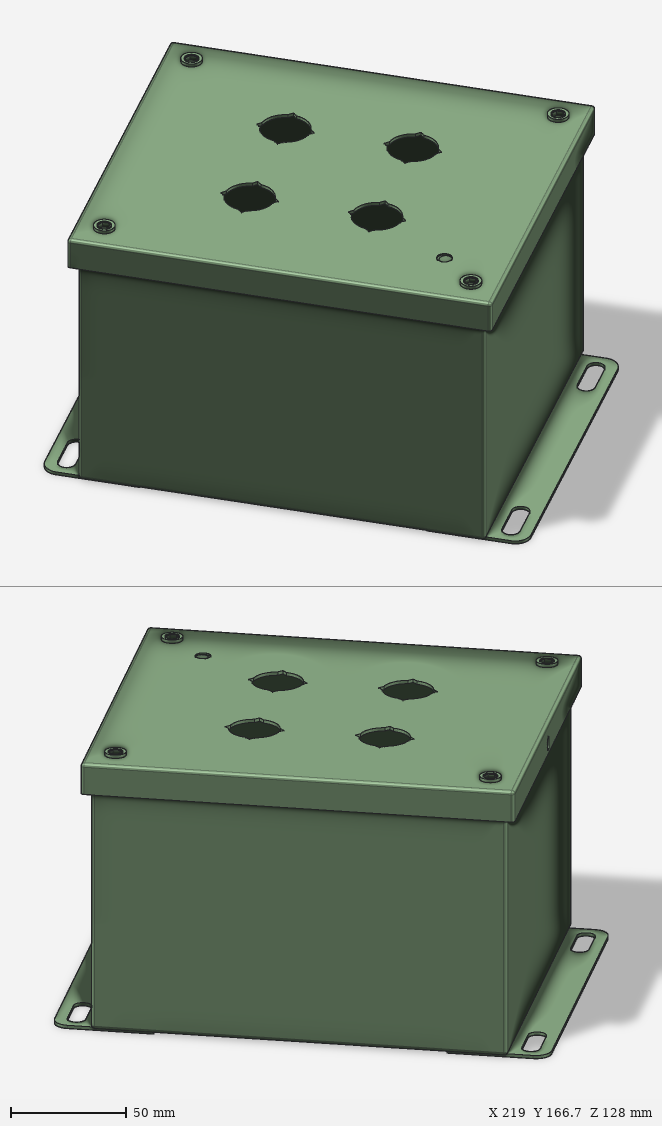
import cadquery as cq
import math

foot_span = 219.0
lid_width = 191.2
lid_depth = 166.7
lid_overhang = 4.0
sheet = 1.5
bend_radius = 1.5
overall_height = 128.0

box_width = lid_width - 2 * lid_overhang
box_depth = lid_depth - 2 * lid_overhang
foot_length = 45.0
foot_depth = 153.0
foot_corner_radius = 7.0
foot_slot_width = 8.0
foot_slot_length = 23.5
foot_slot_x = 100.1
foot_slot_y = 60.2

screw_head_height = 1.5
screw_head_diameter = 9.5
screw_recess_diameter = 6.4
screw_recess_depth = 0.5
screw_socket_across_flats = 5.0
screw_socket_depth = 2.6
screw_x = 82.5
screw_y = 69.9
lid_top = overall_height - screw_head_height
lid_underside = lid_top - sheet
skirt_height = 14.2
lid_bottom = lid_top - skirt_height

button_diameter = 22.3
button_pitch = 57.5
notch_tip_radius = 13.0

skirt_slot_width = 4.0
skirt_slot_height = 6.4
skirt_slot_above_rim = 4.8

stud_recess_diameter = 6.8
stud_recess_depth = 0.7
stud_diameter = 5.7
stud_top = lid_top - stud_recess_depth
stud_recess_x = 66.0
stud_y = -53.0
stud_x = stud_recess_x + (stud_recess_diameter - stud_diameter) / 2


def mirrored_points(x, y):
    """The four points at +-x, +-y."""
    return [(sx * x, sy * y) for sx in (-1, 1) for sy in (-1, 1)]


def block(width, depth, bottom, top):
    """A block centred on the Z axis between two heights."""
    return cq.Workplane("XY").workplane(offset=bottom).rect(width, depth).extrude(top - bottom)


def cylinders(points, diameter, bottom, top):
    """Upright cylinders at the given XY points between two heights."""
    plane = cq.Workplane("XY").workplane(offset=bottom)
    return plane.pushPoints(points).circle(diameter / 2).extrude(top - bottom)


def make_foot(side):
    """One flat mounting foot; side is -1 or +1 along X."""
    center_x = side * (foot_span - foot_length) / 2
    foot = block(foot_length, foot_depth, 0, sheet).translate((center_x, 0, 0))
    outer_end = ">X" if side > 0 else "<X"
    return foot.faces(outer_end).edges("|Z").fillet(foot_corner_radius)


def make_box():
    """Open-topped box with a foot welded under each end."""
    box = block(box_width, box_depth, sheet, lid_underside)
    box = box.edges("|Z or <Z").fillet(bend_radius)
    cavity = block(box_width - 2 * sheet, box_depth - 2 * sheet, 2 * sheet, lid_underside)
    box = box.cut(cavity)
    for side in (-1, 1):
        box = box.union(make_foot(side))
    slots = (
        cq.Workplane("XY")
        .pushPoints(mirrored_points(foot_slot_x, foot_slot_y))
        .slot2D(foot_slot_length, foot_slot_width, 90)
        .extrude(sheet)
    )
    return box.cut(slots)


def button_cutter(x, y):
    """Round opening with four right-angled V notches pointing along X and Y."""
    plate = cq.Workplane("XY").workplane(offset=lid_underside)
    notch_root = notch_tip_radius / 2
    notch = (
        plate.moveTo(notch_tip_radius, 0)
        .lineTo(notch_root, notch_root)
        .lineTo(notch_root, -notch_root)
        .close()
        .extrude(sheet)
    )
    opening = plate.circle(button_diameter / 2).extrude(sheet)
    for angle in range(0, 360, 90):
        opening = opening.union(notch.rotate((0, 0, 0), (0, 0, 1), angle))
    return opening.translate((x, y, 0))


def skirt_slot_cutter():
    """Upright slot through the -X wall of the skirt."""
    center_z = lid_bottom + skirt_slot_above_rim
    return (
        cq.Workplane("YZ", origin=(-lid_width / 2, 0, center_z))
        .slot2D(skirt_slot_height, skirt_slot_width, 90)
        .extrude(sheet)
    )


def screw_sockets(points):
    """Hexagonal sockets sunk into the screw heads."""
    across_corners = screw_socket_across_flats / math.cos(math.pi / 6)
    return (
        cq.Workplane("XY", origin=(0, 0, overall_height))
        .pushPoints(points)
        .polygon(6, across_corners)
        .extrude(-screw_socket_depth)
    )


def make_lid():
    """Folded lid with fixed screw heads, button openings, skirt slot and stud hole."""
    lid = block(lid_width, lid_depth, lid_bottom, lid_top)
    lid = lid.edges("|Z or >Z").fillet(bend_radius)
    lid = lid.cut(block(lid_width - 2 * sheet, lid_depth - 2 * sheet, lid_bottom, lid_underside))
    screw_points = mirrored_points(screw_x, screw_y)
    lid = lid.union(cylinders(screw_points, screw_head_diameter, lid_top, overall_height))
    recess_bottom = overall_height - screw_recess_depth
    lid = lid.cut(cylinders(screw_points, screw_recess_diameter, recess_bottom, overall_height))
    lid = lid.cut(screw_sockets(screw_points))
    for x, y in mirrored_points(button_pitch / 2, button_pitch / 2):
        lid = lid.cut(button_cutter(x, y))
    lid = lid.cut(cylinders([(stud_recess_x, stud_y)], stud_recess_diameter, stud_top, lid_top))
    lid = lid.cut(make_stud())
    return lid.cut(skirt_slot_cutter())


def make_stud():
    """Plain pin filling the off-centre hole in the floor of the stud recess."""
    return cylinders([(stud_x, stud_y)], stud_diameter, lid_underside, stud_top)


box = make_box()
lid = make_lid()
stud = make_stud()
result = cq.Compound.makeCompound([box.val(), lid.val(), stud.val()])